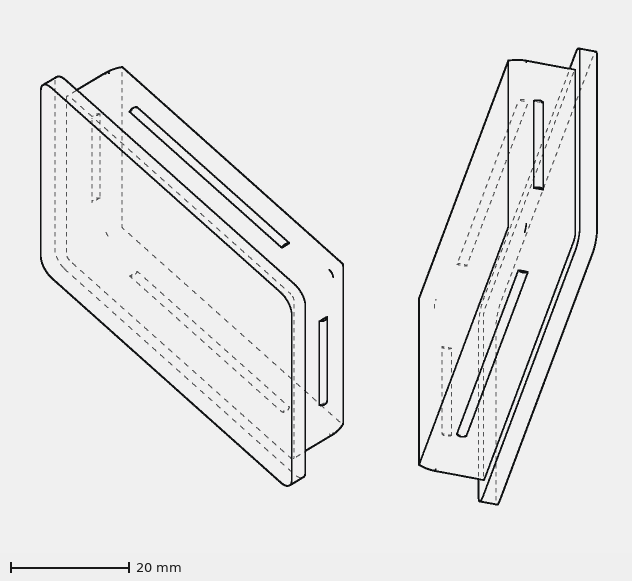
import cadquery as cq
import math

plate_width = 67.0
plate_height = 47.0
plate_thickness = 3.0
plate_corner_radius = 2.95

total_depth = 14.5
body_width = 60.8
body_height = 40.55
body_corner_radius = 1.0
crown_depth = 2.9
side_inset = 0.8
top_inset = 0.4
crown_steps = 4

bead_width = 1.7
bead_rise = 0.4
bead_center_y = 9.45
long_bead_length = 40.7
short_bead_length = 20.8

front_y = -total_depth / 2
back_y = total_depth / 2
crown_y = back_y - crown_depth
bead_y = front_y + bead_center_y


def rounded_block(width, height, corner_radius, start_y, end_y):
    """Block along Y with its four Y edges rounded."""
    return (
        cq.Workplane("XZ", origin=(0, start_y, 0))
        .rect(width, height)
        .extrude(start_y - end_y)
        .edges("|Y")
        .fillet(corner_radius)
    )


def arc_drift(inset, rise):
    """Inward drift, after rise, of an arc that starts straight and reaches inset at the back."""
    radius = (crown_depth**2 + inset**2) / (2 * inset)
    return radius - math.sqrt(radius**2 - rise**2)


def crown_outline(rise):
    """Body outline at a given rise; the corner centres stay put while the walls move inward."""
    center_x = body_width / 2 - body_corner_radius
    center_z = body_height / 2 - body_corner_radius
    outer_x = body_width / 2 - arc_drift(side_inset, rise)
    outer_z = body_height / 2 - arc_drift(top_inset, rise)
    mid_x = center_x + (outer_x - center_x) * math.sqrt(0.5)
    mid_z = center_z + (outer_z - center_z) * math.sqrt(0.5)
    return (
        cq.Workplane("XZ", origin=(0, crown_y + rise, 0))
        .moveTo(-center_x, outer_z)
        .lineTo(center_x, outer_z)
        .spline([(mid_x, mid_z), (outer_x, center_z)], tangents=[(1, 0), (0, -1)], includeCurrent=True)
        .lineTo(outer_x, -center_z)
        .spline([(mid_x, -mid_z), (center_x, -outer_z)], tangents=[(0, -1), (-1, 0)], includeCurrent=True)
        .lineTo(-center_x, -outer_z)
        .spline([(-mid_x, -mid_z), (-outer_x, -center_z)], tangents=[(-1, 0), (0, 1)], includeCurrent=True)
        .lineTo(-outer_x, center_z)
        .spline([(-mid_x, mid_z), (-center_x, outer_z)], tangents=[(0, 1), (1, 0)], includeCurrent=True)
        .close()
        .val()
    )


def bead(plane, wall, length):
    """Circular-segment bead standing on the wall at +wall and at -wall."""
    half = bead_width / 2
    segment = (
        cq.Workplane(plane)
        .moveTo(0, bead_y - half)
        .lineTo(wall, bead_y - half)
        .threePointArc((wall + bead_rise, bead_y), (wall, bead_y + half))
        .lineTo(0, bead_y + half)
        .close()
        .extrude(length / 2, both=True)
    )
    return segment.union(segment.rotate((0, 0, 0), (0, 1, 0), 180))


plate = rounded_block(plate_width, plate_height, plate_corner_radius, front_y, front_y + plate_thickness)
body = rounded_block(body_width, body_height, body_corner_radius, front_y, crown_y)

outlines = [crown_outline(crown_depth * step / crown_steps) for step in range(crown_steps + 1)]
crown = cq.Workplane(cq.Solid.makeLoft(outlines))

upright_plane = cq.Plane(origin=(0, 0, 0), xDir=(0, 0, 1), normal=(-1, 0, 0))
side_beads = bead("XY", body_width / 2, short_bead_length)
top_beads = bead(upright_plane, body_height / 2, long_bead_length)

result = plate.union(body).union(crown).union(side_beads).union(top_beads)